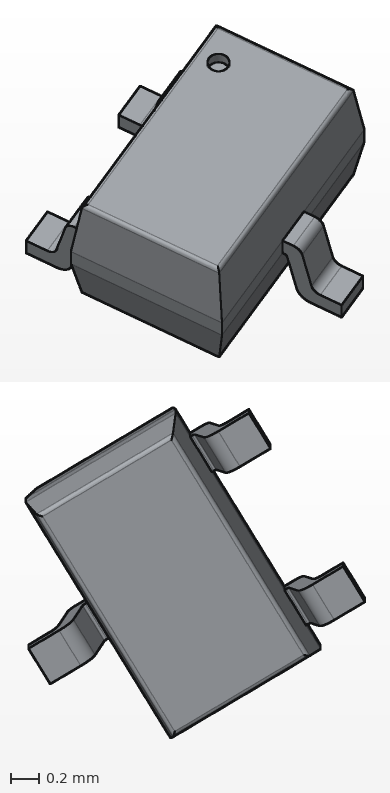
import cadquery as cq
import math

span = 2.23
body_width = 1.25
body_length = 2.0
top_z = 1.1
body_bottom_z = 0.047

lead_thickness = 0.147
lead_width = 0.3
lead_top_z = 0.582
lead_pitch = 1.3
foot_flat = 0.176
bend_radius = 0.075
heel_radius = 0.123
shoulder_inner_radius = 0.022
lead_slope = math.radians(76.6)

side_inset = 0.06
edge_radius = 0.033
marker_diameter = 0.155
marker_x = -0.377
marker_y = lead_pitch / 2
marker_depth = 0.1

lead_bottom_z = lead_top_z - lead_thickness


def make_tapered_half(start_z, end_z):
    """Half of the body, narrowing from the middle band to a rounded end face."""
    half = (
        cq.Workplane("XY", origin=(0, 0, start_z))
        .rect(body_width, body_length)
        .workplane(offset=end_z - start_z)
        .rect(body_width - 2 * side_inset, body_length - 2 * side_inset)
        .loft(ruled=True)
    )
    end_face = ">Z" if end_z > start_z else "<Z"
    return half.faces(end_face).edges().fillet(edge_radius)


def make_body():
    """Moulded housing: straight middle band, two tapered halves and the pin-1 dimple."""
    band = (
        cq.Workplane("XY", origin=(0, 0, lead_bottom_z))
        .rect(body_width, body_length)
        .extrude(lead_thickness)
    )
    upper = make_tapered_half(lead_top_z, top_z)
    lower = make_tapered_half(lead_bottom_z, body_bottom_z)
    marker = (
        cq.Workplane("XY", origin=(marker_x, marker_y, top_z))
        .circle(marker_diameter / 2)
        .extrude(-marker_depth)
    )
    return band.union(upper).union(lower).cut(marker)


def make_lead():
    """Gull-wing lead on the -X side, centred on Y = 0, ending at the body wall."""
    toe_x = -span / 2
    wall_x = -body_width / 2
    corner_setback = math.tan(lead_slope / 2)
    run = (lead_top_z - lead_thickness) / math.tan(lead_slope)
    inner_foot_x = toe_x + foot_flat + bend_radius * corner_setback
    outer_shoulder_x = inner_foot_x + run
    thickness_shift = lead_thickness * corner_setback

    lead = (
        cq.Workplane("XZ", origin=(0, lead_width / 2, 0))
        .moveTo(toe_x, 0)
        .lineTo(inner_foot_x + thickness_shift, 0)
        .lineTo(outer_shoulder_x + thickness_shift, lead_bottom_z)
        .lineTo(wall_x, lead_bottom_z)
        .lineTo(wall_x, lead_top_z)
        .lineTo(outer_shoulder_x, lead_top_z)
        .lineTo(inner_foot_x, lead_thickness)
        .lineTo(toe_x, lead_thickness)
        .close()
        .extrude(lead_width)
    )
    bends = [
        (inner_foot_x, lead_thickness, bend_radius),
        (outer_shoulder_x, lead_top_z, bend_radius),
        (inner_foot_x + thickness_shift, 0, heel_radius),
        (outer_shoulder_x + thickness_shift, lead_bottom_z, shoulder_inner_radius),
    ]
    for corner_x, corner_z, radius in bends:
        corner_edge = cq.selectors.NearestToPointSelector((corner_x, 0, corner_z))
        lead = lead.edges("|Y").edges(corner_edge).fillet(radius)
    return lead


body = make_body()

leads = []
for lead_y, turn in [(-lead_pitch / 2, 0), (lead_pitch / 2, 0), (0, 180)]:
    lead = make_lead().rotate((0, 0, 0), (0, 0, 1), turn).translate((0, lead_y, 0))
    leads.append(lead.val())

result = cq.Compound.makeCompound([body.val(), *leads])